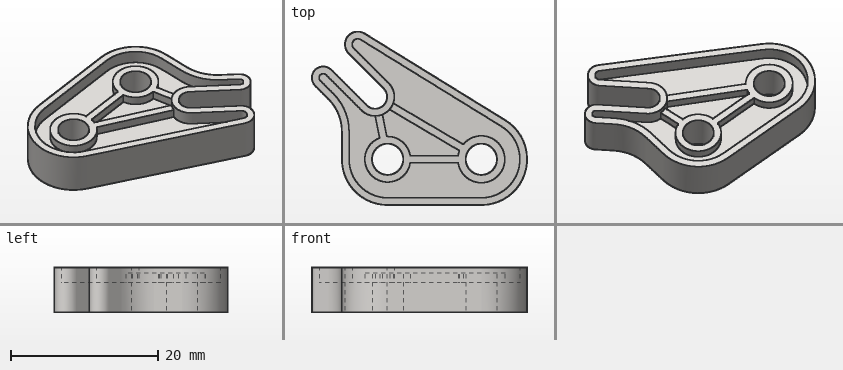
import cadquery as cq
import math

height = 6.1
wall = 1.0
floor_depth = 2.02
web_depth = 0.7

hole_spacing = 12.72
hole_radius = 2.1
left_boss_radius = 3.1
right_boss_radius = 3.2
corner_radius = 6.23
neck_radius = 6.23

slot_radius = 1.6
slot_center = (-1.7, 8.48)
upper_tip_radius = 1.75
lower_tip_radius = 1.55
upper_finger_length = 6.7
lower_finger_length = 6.8

left_hole = (0, 0)
right_hole = (hole_spacing, 0)

DIAGONAL = math.sqrt(0.5)
slot_direction = (-DIAGONAL, DIAGONAL)
upper_side = (DIAGONAL, DIAGONAL)
lower_side = (-DIAGONAL, -DIAGONAL)


def shifted(point, direction, distance):
    """Move a point along a unit direction."""
    return (point[0] + direction[0] * distance, point[1] + direction[1] * distance)


def finger_tip(length, tip_radius, side):
    """Centre of a rounded finger tip whose inner edge lies on the slot side."""
    on_axis = shifted(slot_center, slot_direction, length)
    return shifted(on_axis, side, slot_radius + tip_radius)


def plate_outline():
    """Outer profile at the base, made of tangent lines and arcs."""
    upper_tip = finger_tip(upper_finger_length, upper_tip_radius, upper_side)
    lower_tip = finger_tip(lower_finger_length, lower_tip_radius, lower_side)

    dx = right_hole[0] - upper_tip[0]
    dy = right_hole[1] - upper_tip[1]
    edge_angle = math.atan2(dy, dx)
    spread = math.acos((upper_tip_radius - corner_radius) / math.hypot(dx, dy))
    normal_angle = edge_angle + spread
    edge_normal = (math.cos(normal_angle), math.sin(normal_angle))

    finger_edge = shifted(lower_tip, lower_side, lower_tip_radius)
    neck_corner = (-corner_radius, finger_edge[1] + finger_edge[0] + corner_radius)
    setback = neck_radius * math.tan(math.pi / 8)
    neck_start = shifted(neck_corner, slot_direction, setback)
    neck_end = (-corner_radius, neck_corner[1] - setback)
    neck_center = (neck_end[0] - neck_radius, neck_end[1])
    neck_middle_angle = math.pi / 8
    neck_normal = (math.cos(neck_middle_angle), math.sin(neck_middle_angle))

    slot_bottom = (DIAGONAL, -DIAGONAL)
    return (
        cq.Workplane("XY")
        .moveTo(0, -corner_radius)
        .lineTo(hole_spacing, -corner_radius)
        .threePointArc(
            (hole_spacing + corner_radius, 0),
            shifted(right_hole, edge_normal, corner_radius),
        )
        .lineTo(*shifted(upper_tip, edge_normal, upper_tip_radius))
        .threePointArc(
            shifted(upper_tip, slot_direction, upper_tip_radius),
            shifted(upper_tip, lower_side, upper_tip_radius),
        )
        .lineTo(*shifted(slot_center, upper_side, slot_radius))
        .threePointArc(
            shifted(slot_center, slot_bottom, slot_radius),
            shifted(slot_center, lower_side, slot_radius),
        )
        .lineTo(*shifted(lower_tip, upper_side, lower_tip_radius))
        .threePointArc(
            shifted(lower_tip, slot_direction, lower_tip_radius),
            finger_edge,
        )
        .lineTo(*neck_start)
        .threePointArc(shifted(neck_center, neck_normal, neck_radius), neck_end)
        .lineTo(-corner_radius, 0)
        .threePointArc(shifted(left_hole, lower_side, corner_radius), (0, -corner_radius))
        .close()
    )


def rib(start, end):
    """Straight web between two centres, from the base to the web height."""
    dx = end[0] - start[0]
    dy = end[1] - start[1]
    return (
        cq.Workplane("XY")
        .rect(math.hypot(dx, dy), wall)
        .extrude(height - web_depth)
        .rotate((0, 0, 0), (0, 0, 1), math.degrees(math.atan2(dy, dx)))
        .translate(((start[0] + end[0]) / 2, (start[1] + end[1]) / 2, 0))
    )


def cylinder(center, radius, length):
    """Vertical cylinder standing on the base plane."""
    return cq.Workplane("XY").center(*center).circle(radius).extrude(length)


plate = plate_outline().extrude(height)
pocket = (
    plate_outline()
    .offset2D(-wall)
    .extrude(floor_depth)
    .translate((0, 0, height - floor_depth))
)
body = plate.cut(pocket)

webs = cylinder(left_hole, left_boss_radius, height - web_depth)
webs = webs.union(cylinder(right_hole, right_boss_radius, height - web_depth))
for start, end in (
    (left_hole, right_hole),
    (left_hole, slot_center),
    (right_hole, slot_center),
):
    webs = webs.union(rib(start, end))
body = body.union(webs.intersect(plate))

for hole in (left_hole, right_hole):
    body = body.cut(cylinder(hole, hole_radius, height))

result = body